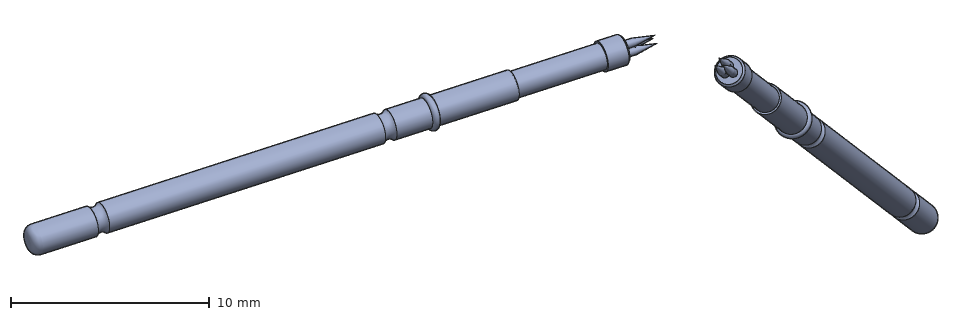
import cadquery as cq
import math

length = 35.4

barrel_radius = 0.8
tail_round = 0.45
mouth_y = 27.33

crimp_radius = 0.67
crimp_half_width = 0.32
crimp_places = (3.9, 20.1)

ring_outer_radius = 1.0
ring_bead_radius = 0.2
ring_y = 22.65

plunger_radius = 0.7
head_start_y = 32.35
head_end_y = 33.63
head_chamfer = 0.1

needle_count = 3
needle_radius = 0.23
needle_offset = 0.25
cone_start_y = 34.15


def turn(profile):
    """Close a half profile and turn it about the Y axis."""
    return profile.close().revolve(360, (0, 0), (1, 0))


def add_crimp(profile, y):
    """Run along the barrel, then through a hollow round groove centered at y."""
    return (
        profile.lineTo(y - crimp_half_width, barrel_radius)
        .threePointArc((y, crimp_radius), (y + crimp_half_width, barrel_radius))
    )


def add_ring(profile):
    """Run along the barrel, then over the round bead of the press ring."""
    bead_center = ring_outer_radius - ring_bead_radius
    half_width = math.sqrt(ring_bead_radius**2 - (barrel_radius - bead_center)**2)
    return (
        profile.lineTo(ring_y - half_width, barrel_radius)
        .threePointArc((ring_y, ring_outer_radius), (ring_y + half_width, barrel_radius))
    )


def make_body():
    """Barrel, press ring, plunger and head as one turned solid."""
    tail_flat_radius = barrel_radius - tail_round
    half_diagonal = tail_round * math.sqrt(0.5)
    tail_middle = (tail_round - half_diagonal, tail_flat_radius + half_diagonal)
    profile = (
        cq.Workplane("YZ")
        .lineTo(0, tail_flat_radius)
        .threePointArc(tail_middle, (tail_round, barrel_radius))
    )
    for y in crimp_places:
        profile = add_crimp(profile, y)
    profile = add_ring(profile)
    profile = (
        profile.lineTo(mouth_y, barrel_radius)
        .lineTo(mouth_y, plunger_radius)
        .lineTo(head_start_y, plunger_radius)
        .lineTo(head_start_y, barrel_radius)
        .lineTo(head_end_y - head_chamfer, barrel_radius)
        .lineTo(head_end_y, barrel_radius - head_chamfer)
        .lineTo(head_end_y, 0)
    )
    return turn(profile)


def make_needle(angle):
    """Straight needle with a conical point, at the given angle about Y from +Z."""
    root_y = head_start_y
    profile = (
        cq.Workplane("YZ")
        .moveTo(root_y, 0)
        .lineTo(root_y, needle_radius)
        .lineTo(cone_start_y, needle_radius)
        .lineTo(length, 0)
    )
    return turn(profile).translate((0, 0, needle_offset)).rotate((0, 0, 0), (0, 1, 0), angle)


result = make_body()
for index in range(needle_count):
    result = result.union(make_needle(index * 360 / needle_count))